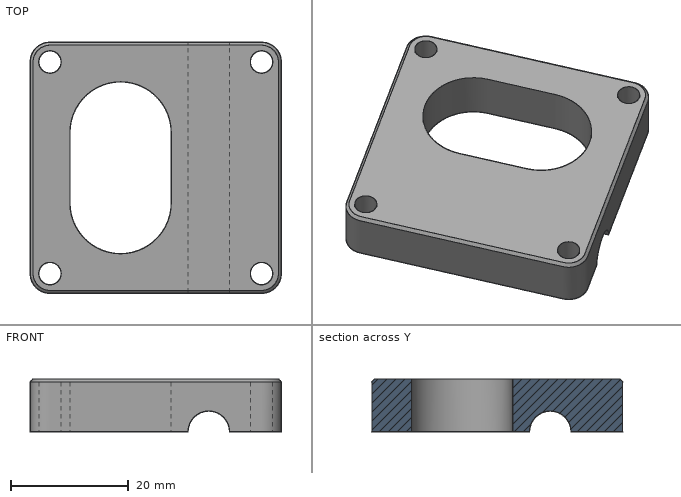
import cadquery as cq

side = 42.75
height = 9.0
corner_radius = 3.38
top_chamfer = 0.5

hole_diameter = 3.75
hole_spacing = 36.0

window_width = 17.2
window_length = 29.2
window_x = -6.0

channel_radius = 3.5
channel_x = 9.0


def make_plate():
    """Square plate with rounded corners and a chamfered top rim."""
    plate = cq.Workplane("XY").rect(side, side).extrude(height)
    plate = plate.edges("|Z").fillet(corner_radius)
    return plate.faces(">Z").edges().chamfer(top_chamfer)


def make_screw_holes():
    """Four through holes on a square pattern."""
    pattern = cq.Workplane("XY").rect(hole_spacing, hole_spacing, forConstruction=True)
    return pattern.vertices().circle(hole_diameter / 2).extrude(height)


def make_window():
    """Through slot with full round ends."""
    outline = cq.Workplane("XY").center(window_x, 0).slot2D(window_length, window_width, 90)
    return outline.extrude(height)


def make_channel():
    """Cylinder centred on the bottom face, running the full depth of the plate."""
    return cq.Workplane("XZ").center(channel_x, 0).circle(channel_radius).extrude(side / 2, both=True)


result = make_plate().cut(make_screw_holes()).cut(make_window()).cut(make_channel())